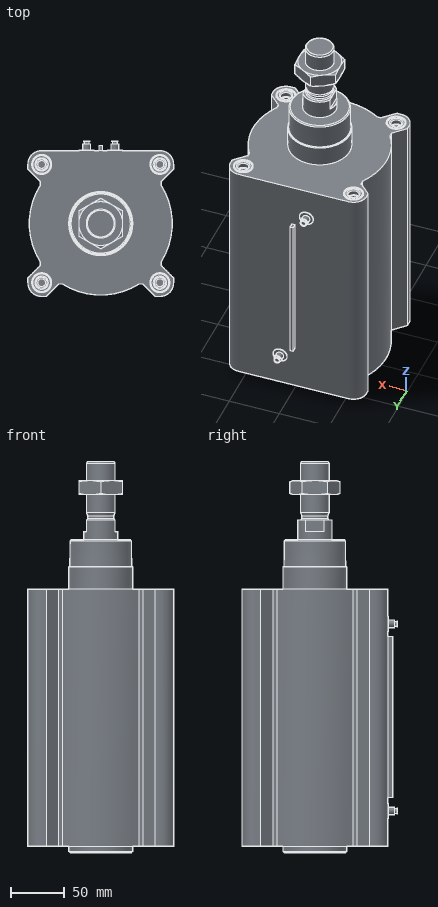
import cadquery as cq
import math

barrel_bottom = 6.2
barrel_top = 246.0
guide_top = 267.0
nose_top = 292.0
shoulder_top = 310.5
relief_top = 317.5
rod_top = 365.0

barrel_width = 136.0
barrel_diameter = 133.5
tie_rod_spacing = 110.2
lobe_side_end = 50.7
lobe_root = 56.5
half_width = barrel_width / 2
tie_rod_offset = tie_rod_spacing / 2
lobe_radius = half_width - tie_rod_offset
lobe_root_end = lobe_side_end - (half_width - lobe_root)
root_on_circle = math.sqrt((barrel_diameter / 2) ** 2 - lobe_root ** 2)

boss_diameter = 60.0
boss_chamfer = 1.5
guide_chamfer = 0.7
nose_base_diameter = 58.0
nose_top_diameter = 57.3
nose_chamfer = 1.0

recess_diameter = 18.5
tie_nut_diameter = 18.0
tie_nut_chamfer = 0.7
recess_depth = 2.0
tie_bore_diameter = 10.2
tie_bore_chamfer = 1.0
tie_bore_depth = 6.0
pilot_diameter = 7.3
pilot_depth = 11.0

fitting_offset = 13.0
fitting_heights = {-1: 213.5, 1: 39.0}
flange_diameter = 14.0
flange_reach = 0.7
socket_diameter = 7.3
socket_reach = 6.2
neck_diameter = 4.7
neck_reach = 8.5
cap_diameter = 6.0
cap_reach = 9.0
rail_width = 3.3
rail_reach = 4.7
rail_bottom = 51.5
rail_top = 202.0

rod_diameter = 32.0
thread_diameter = 27.0
relief_diameter = 24.5
thread_end_diameter = 25.0
thread_end_chamfer_height = 2.0
relief_cone_bottom = 314.3
relief_flare = 1.0
flats_width = 27.0
flats_bottom = 299.5

nut_width = 41.0
nut_bottom = 334.0
nut_top = 347.0
nut_corner_diameter = nut_width / math.cos(math.pi / 6)
nut_face_diameter = nut_width
nut_chamfer_angle = math.radians(20)
nut_chamfer_height = (nut_corner_diameter - nut_face_diameter) / 2 * math.tan(nut_chamfer_angle)


def cylinder(diameter, bottom, top):
    return cq.Workplane("XY").workplane(offset=bottom).circle(diameter / 2).extrude(top - bottom)


def revolve_profile(points):
    """Solid of revolution about Z from (radius, height) points."""
    return cq.Workplane("XZ").polyline(points).close().revolve(360, (0, 0), (0, 1))


def make_corner_lobe():
    """Tie rod lobe in the +X +Y quadrant, reaching in to the axis."""
    arc_middle = tie_rod_offset + lobe_radius * math.sqrt(0.5)
    return (
        cq.Workplane("XY", origin=(0, 0, barrel_bottom))
        .lineTo(root_on_circle, lobe_root)
        .lineTo(lobe_root_end, lobe_root)
        .lineTo(lobe_side_end, half_width)
        .lineTo(tie_rod_offset, half_width)
        .threePointArc((arc_middle, arc_middle), (half_width, tie_rod_offset))
        .lineTo(half_width, lobe_side_end)
        .lineTo(lobe_root, lobe_root_end)
        .lineTo(lobe_root, root_on_circle)
        .close()
        .extrude(barrel_top - barrel_bottom)
    )


def make_barrel():
    """Round barrel with four tie rod lobes and a flat +Y side."""
    barrel = cylinder(barrel_diameter, barrel_bottom, barrel_top)
    lobe = make_corner_lobe()
    for quarter in range(4):
        barrel = barrel.union(lobe.rotate((0, 0, 0), (0, 0, 1), 90 * quarter))
    flat_side = (
        cq.Workplane("XY", origin=(0, half_width / 2, barrel_bottom))
        .rect(2 * tie_rod_offset, half_width)
        .extrude(barrel_top - barrel_bottom)
    )
    return barrel.union(flat_side)


def make_bosses():
    """Bottom boss, rod guide and the slightly tapered nose above the guide."""
    bottom_boss = cylinder(boss_diameter, 0, barrel_bottom).faces("<Z").chamfer(boss_chamfer)
    guide = cylinder(boss_diameter, barrel_top, guide_top).faces(">Z").chamfer(guide_chamfer)
    nose = (
        cq.Workplane("XY", origin=(0, 0, guide_top))
        .circle(nose_base_diameter / 2)
        .workplane(offset=nose_top - guide_top)
        .circle(nose_top_diameter / 2)
        .loft()
        .faces(">Z")
        .chamfer(nose_chamfer)
    )
    return bottom_boss.union(guide).union(nose)


def make_tie_nut_recess():
    """Cutter that leaves a chamfered, bored tie rod nut inside a ring-shaped gap."""
    recess_bottom = barrel_top - recess_depth
    tie_nut = cylinder(tie_nut_diameter, recess_bottom, barrel_top).faces(">Z").chamfer(tie_nut_chamfer)
    gap = cylinder(recess_diameter, recess_bottom, barrel_top).cut(tie_nut)
    bore_radius = tie_bore_diameter / 2
    mouth_radius = bore_radius + tie_bore_chamfer
    bore_profile = [
        (0, barrel_top),
        (mouth_radius, barrel_top),
        (bore_radius, barrel_top - tie_bore_chamfer),
        (bore_radius, barrel_top - tie_bore_depth),
        (pilot_diameter / 2, barrel_top - tie_bore_depth),
        (pilot_diameter / 2, barrel_top - pilot_depth),
        (0, barrel_top - pilot_depth),
    ]
    bore = revolve_profile(bore_profile)
    return gap.union(bore)


def make_fitting():
    """Stepped fitting along +Y, starting on the flat face."""
    steps = [
        (flange_diameter, flange_reach),
        (socket_diameter, socket_reach),
        (neck_diameter, neck_reach),
        (cap_diameter, cap_reach),
    ]
    fitting = None
    start = 0
    for diameter, reach in steps:
        step = cq.Workplane("XZ", origin=(0, half_width + start, 0)).circle(diameter / 2)
        step = step.extrude(start - reach)
        fitting = step if fitting is None else fitting.union(step)
        start = reach
    return fitting


def make_rail():
    rail = cq.Workplane("XY", origin=(0, half_width + rail_reach / 2, rail_bottom))
    return rail.rect(rail_width, rail_reach).extrude(rail_top - rail_bottom)


def make_housing():
    housing = make_barrel().union(make_bosses()).union(make_rail())
    fitting = make_fitting()
    for side, height in fitting_heights.items():
        housing = housing.union(fitting.translate((side * fitting_offset, 0, height)))
    recess = make_tie_nut_recess()
    for x in (-tie_rod_offset, tie_rod_offset):
        for y in (-tie_rod_offset, tie_rod_offset):
            housing = housing.cut(recess.translate((x, y, 0)))
    return housing.cut(cylinder(rod_diameter, barrel_top, nose_top))


def make_rod():
    """Rod with wrench flats, a thread relief and a threaded end kept as a plain cylinder."""
    thread_radius = thread_diameter / 2
    relief_radius = relief_diameter / 2
    profile = [
        (0, barrel_top),
        (rod_diameter / 2, barrel_top),
        (rod_diameter / 2, shoulder_top),
        (relief_radius + relief_flare, shoulder_top),
        (relief_radius, shoulder_top + relief_flare),
        (relief_radius, relief_cone_bottom),
        (thread_radius, relief_top),
        (thread_radius, rod_top - thread_end_chamfer_height),
        (thread_end_diameter / 2, rod_top),
        (0, rod_top),
    ]
    rod = revolve_profile(profile)
    flats = (
        cq.Workplane("XY", origin=(0, 0, flats_bottom))
        .rect(2 * rod_diameter, 2 * rod_diameter)
        .rect(flats_width, 2 * rod_diameter)
        .extrude(shoulder_top - flats_bottom)
    )
    return rod.cut(flats)


def make_nut():
    """Hexagonal nut with corners on the Y axis, chamfered at both ends."""
    prism = (
        cq.Workplane("XY", origin=(0, 0, nut_bottom))
        .polygon(6, nut_corner_diameter)
        .extrude(nut_top - nut_bottom)
        .rotate((0, 0, 0), (0, 0, 1), 90)
    )
    corner_radius = nut_corner_diameter / 2
    face_radius = nut_face_diameter / 2
    blank_profile = [
        (0, nut_bottom),
        (face_radius, nut_bottom),
        (corner_radius, nut_bottom + nut_chamfer_height),
        (corner_radius, nut_top - nut_chamfer_height),
        (face_radius, nut_top),
        (0, nut_top),
    ]
    blank = revolve_profile(blank_profile)
    return prism.intersect(blank).cut(cylinder(thread_diameter, nut_bottom, nut_top))


housing = make_housing()
rod = make_rod()
lock_nut = make_nut()
result = cq.Compound.makeCompound([housing.val(), rod.val(), lock_nut.val()])